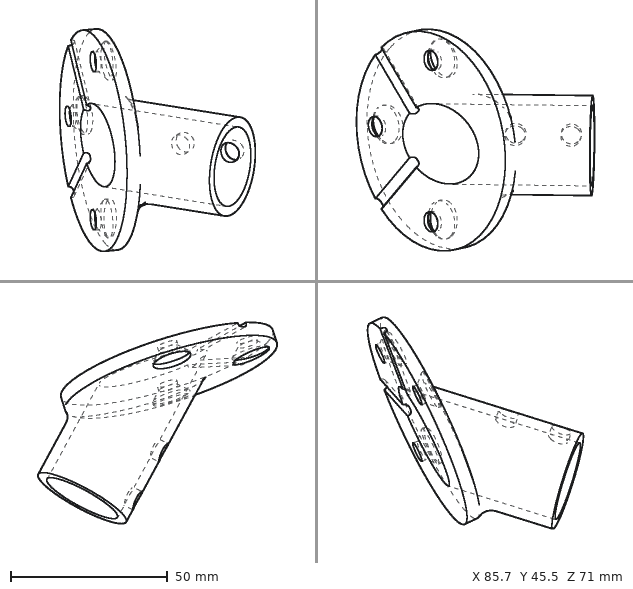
import cadquery as cq
import math

flange_radius = 35.5
rim_thickness = 4.5
dome_height = 2.5

tube_angle = 45.0
tube_outer_radius = 16.0
tube_bore_radius = 12.8
tube_length = 55.0
tube_origin_depth = 4.7
root_fillet = 5.0

screw_circle_radius = 26.5
screw_diameter = 6.5
screw_angles = (90, 180, 270)
countersink_diameter = 12.5
countersink_angle = 90.0

pin_diameter = 6.5
pin_positions = (29.7, 47.5)

groove_width = 4.0
groove_depth = 1.5
groove_corner_radius = 1.5
groove_angles = (135, 225)

cos_tube = math.cos(math.radians(tube_angle))
sin_tube = math.sin(math.radians(tube_angle))
tube_axis = cq.Vector(cos_tube, sin_tube, 0)
tube_origin = cq.Vector(0, -tube_origin_depth, 0)
pin_axis = cq.Vector(-sin_tube, cos_tube, 0)
y_axis = cq.Vector(0, 1, 0)
full_height = rim_thickness + dome_height


def make_flange():
    """Disc with a spherical dome, revolved about the Y axis."""
    dome_radius = (flange_radius**2 + dome_height**2) / (2 * dome_height)
    half_angle = math.asin(flange_radius / dome_radius) / 2
    dome_middle = (
        dome_radius * math.sin(half_angle),
        full_height - dome_radius * (1 - math.cos(half_angle)),
    )
    return (
        cq.Workplane("XY")
        .lineTo(flange_radius, 0)
        .lineTo(flange_radius, rim_thickness)
        .threePointArc(dome_middle, (0, full_height))
        .close()
        .revolve(360, (0, 0, 0), (0, 1, 0))
    )


def tube_cylinder(radius):
    """Cylinder on the tube axis, starting well behind the flat face and ending at the tube mouth."""
    start = tube_origin - tube_axis * flange_radius
    return cq.Workplane(cq.Solid.makeCylinder(radius, tube_length + flange_radius, start, tube_axis))


def make_body():
    """Flange and solid tube, blended where the tube meets the dome."""
    keep_size = 4 * tube_length
    upper_space = cq.Workplane("XY").box(keep_size, keep_size, keep_size, centered=(True, False, True))
    tube = tube_cylinder(tube_outer_radius).intersect(upper_space)
    body = make_flange().union(tube)
    return body.edges("%BSPLINE").fillet(root_fillet)


def cut_tube_bore(body):
    return body.cut(tube_cylinder(tube_bore_radius))


def cut_screw_holes(body):
    """Through holes along Y, countersunk from the dome side."""
    sink_depth = (countersink_diameter - screw_diameter) / 2 / math.tan(math.radians(countersink_angle / 2))
    for angle in screw_angles:
        x = screw_circle_radius * math.cos(math.radians(angle))
        z = screw_circle_radius * math.sin(math.radians(angle))
        hole = cq.Solid.makeCylinder(screw_diameter / 2, full_height, cq.Vector(x, 0, z), y_axis)
        sink_start = cq.Vector(x, rim_thickness - sink_depth, z)
        sink = cq.Solid.makeCone(
            screw_diameter / 2, countersink_diameter / 2, sink_depth, sink_start, y_axis
        )
        clearance = cq.Solid.makeCylinder(
            countersink_diameter / 2, full_height, cq.Vector(x, rim_thickness, z), y_axis
        )
        body = body.cut(hole).cut(sink).cut(clearance)
    return body


def cut_pin_holes(body):
    """Radial holes from the tube axis out through the upper wall only."""
    for position in pin_positions:
        start = tube_origin + tube_axis * position
        body = body.cut(cq.Solid.makeCylinder(pin_diameter / 2, 2 * tube_outer_radius, start, pin_axis))
    return body


def cut_grooves(body):
    """Radial grooves with rounded bottom corners, from the bore to the rim."""
    groove = (
        cq.Workplane("XY")
        .box(2 * flange_radius, 2 * groove_depth, groove_width, centered=(False, True, True))
        .edges("|X and >Y")
        .fillet(groove_corner_radius)
    )
    for angle in groove_angles:
        body = body.cut(groove.rotate((0, 0, 0), (0, 1, 0), -angle))
    return body


body = make_body()
body = cut_tube_bore(body)
body = cut_screw_holes(body)
body = cut_pin_holes(body)
result = cut_grooves(body)